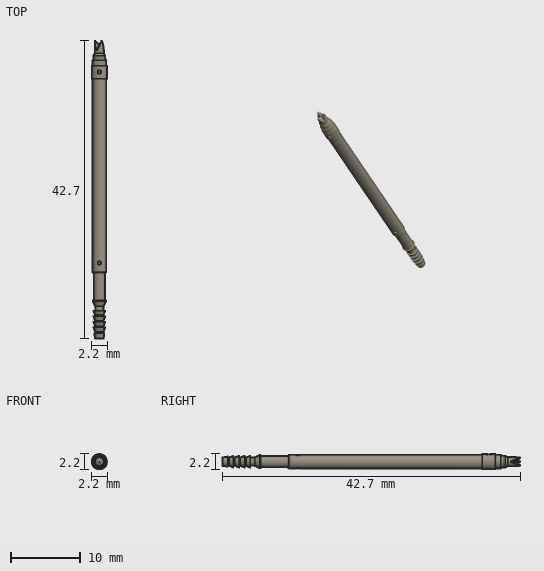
import cadquery as cq
import math

LENGTH = 42.7

TIP_RADIUS = 0.67
TIP_END = 1.83
CROWN_POINTS = 3
CROWN_CENTRE_DEPTH = 0.6
CROWN_VALLEY_DEPTH = 1.4

NECK_RADIUS = 0.85
NECK_START = 2.2
NECK_END = 2.45
NOSE_CONE_RADIUS = 0.92
NOSE_CONE_END = 2.85
RING_RADIUS = 1.1
RING_FLARE_START = 3.5
RING_FLARE_RADIUS = 1.03
RING_START = 3.62
RING_END = 5.45

BARREL_RADIUS = 1.0
BARREL_TAPER_START = 33.05
BARREL_END_RADIUS = 0.97
BARREL_END = 33.2

SLEEVE_RADIUS = 0.83
SLEEVE_SHOULDER_RADIUS = 0.87
SLEEVE_SHOULDER_END = 33.35
BEAD_FRONT_RADIUS = 0.95
BEAD_RADIUS = 0.97
BEAD_START = 37.22
BEAD_CREST = 37.33
BEAD_END = 38.05

TAIL_RADIUS = 0.62
BARB_RADIUS = 0.85
BARB_COUNT = 4
BARB_START = 38.69
BARB_PITCH = 0.8
BARB_LENGTH = 0.6
END_CONE_RADIUS = 0.74

DIMPLE_DIAMETER = 0.5
DIMPLE_DEPTH = 0.15
RING_DIMPLE = 4.5
BARREL_DIMPLE = 31.85


def y_at(station):
    """Y coordinate of a distance measured back from the crown tip."""
    return LENGTH / 2 - station


def make_body():
    """Turned body with its barbed tail, revolved about Y."""
    profile = [
        (0, 0),
        (TIP_RADIUS, 0),
        (TIP_RADIUS, TIP_END),
        (NECK_RADIUS, NECK_START),
        (NECK_RADIUS, NECK_END),
        (NOSE_CONE_RADIUS, NOSE_CONE_END),
        (BARREL_RADIUS, NOSE_CONE_END),
        (BARREL_RADIUS, RING_FLARE_START),
        (RING_FLARE_RADIUS, RING_START),
        (RING_RADIUS, RING_START),
        (RING_RADIUS, RING_END),
        (BARREL_RADIUS, RING_END),
        (BARREL_RADIUS, BARREL_TAPER_START),
        (BARREL_END_RADIUS, BARREL_END),
        (SLEEVE_SHOULDER_RADIUS, BARREL_END),
        (SLEEVE_RADIUS, SLEEVE_SHOULDER_END),
        (SLEEVE_RADIUS, BEAD_START),
        (BEAD_FRONT_RADIUS, BEAD_START),
        (BEAD_RADIUS, BEAD_CREST),
        (TAIL_RADIUS, BEAD_END),
    ]
    for index in range(BARB_COUNT):
        barb = BARB_START + index * BARB_PITCH
        profile += [(TAIL_RADIUS, barb), (BARB_RADIUS, barb), (TAIL_RADIUS, barb + BARB_LENGTH)]
    end_cone = BARB_START + BARB_COUNT * BARB_PITCH
    profile += [
        (TAIL_RADIUS, end_cone),
        (END_CONE_RADIUS, end_cone),
        (TAIL_RADIUS, LENGTH),
        (0, LENGTH),
    ]
    points = [(radius, y_at(station)) for radius, station in profile]
    return cq.Workplane("XY").polyline(points).close().revolve(360, (0, 0, 0), (0, 1, 0))


def make_crown_groove():
    """V groove whose root slopes back from the axis towards +X."""
    slope = (CROWN_VALLEY_DEPTH - CROWN_CENTRE_DEPTH) / TIP_RADIUS
    tilt = math.atan(slope)
    half_angle = math.pi / CROWN_POINTS
    rise_to_point = CROWN_CENTRE_DEPTH + slope * TIP_RADIUS * math.cos(half_angle)
    flank_slope = rise_to_point / (TIP_RADIUS * math.sin(half_angle))

    height = 2 * TIP_RADIUS * flank_slope
    half_width = height / (flank_slope * math.cos(tilt))
    reach = 4 * TIP_RADIUS
    groove = (
        cq.Workplane("YZ")
        .polyline([(0, 0), (height, half_width), (height, -half_width)])
        .close()
        .extrude(reach, both=True)
    )
    groove = groove.rotate((0, 0, 0), (0, 0, 1), -math.degrees(tilt))
    return groove.translate((0, y_at(CROWN_CENTRE_DEPTH), 0))


def cut_crown(body):
    """Cut the equally spaced grooves that leave the crown points, one of them at -X."""
    groove = make_crown_groove()
    for index in range(CROWN_POINTS):
        angle = index * 360 / CROWN_POINTS
        body = body.cut(groove.rotate((0, 0, 0), (0, 1, 0), angle))
    return body


def cut_dimples(body, station, surface_radius):
    """Cut a pair of opposite round dimples into the surface at one station."""
    for side in (1, -1):
        dimple = (
            cq.Workplane("XY", origin=(0, y_at(station), side * (surface_radius - DIMPLE_DEPTH)))
            .circle(DIMPLE_DIAMETER / 2)
            .extrude(side * 2 * DIMPLE_DEPTH)
        )
        body = body.cut(dimple)
    return body


result = cut_crown(make_body())
result = cut_dimples(result, RING_DIMPLE, RING_RADIUS)
result = cut_dimples(result, BARREL_DIMPLE, BARREL_RADIUS)